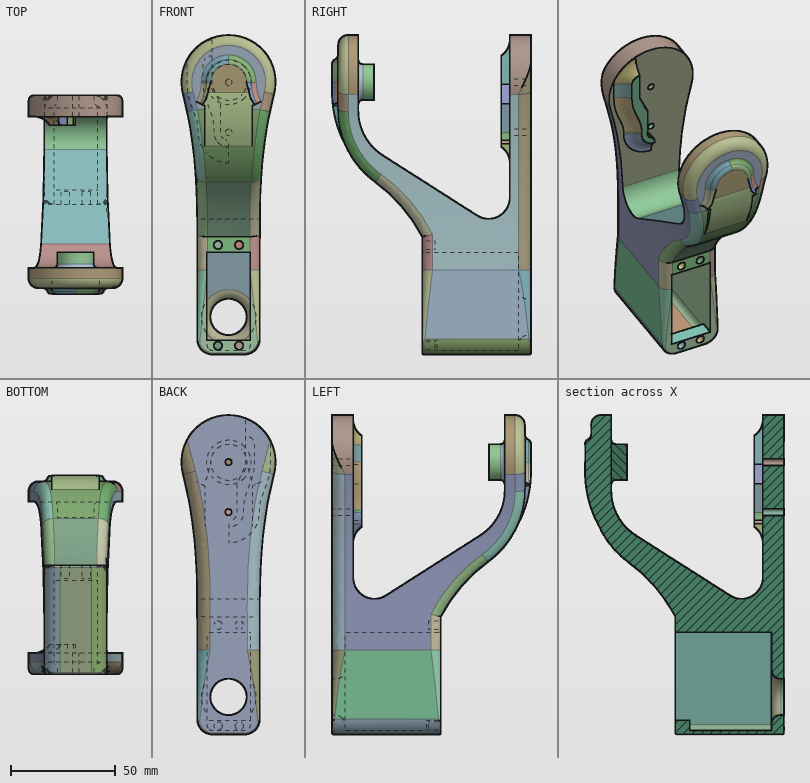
import cadquery as cq
import math

DIAGONAL = math.sqrt(0.5)
TOLERANCE = 0.02
FORWARD_LIMIT = 0.2

TOTAL_HEIGHT = 152.5
HEAD_RADIUS = 22.5
HEAD_Z = TOTAL_HEIGHT - HEAD_RADIUS
BACK_ARM_THICKNESS = 10.2
FRONT_ARM_INNER_Y = -82.4
FRONT_ARM_OUTER_Y = -92.1
PAD_FACE_Y = -95.0
FLANK_MIDDLE = (16.6, 96.5)
FLANK_LEAN = 14.8

HANDLE_HALF_WIDTH = 15.0
HANDLE_FRONT_Y = -52.0
HANDLE_TOP_Z = 56.3
HANDLE_TAPER_Z = 40.4
HANDLE_CORNER_RADIUS = 7.5
BACK_EDGE_RADIUS = 6.1
FRONT_EDGE_RADIUS = 4.9
HANDLE_FOOT_RADIUS = 0.6
HANDLE_RIM_RADIUS = 0.9
HANDLE_MIDDLE_Z = 18.3
HANDLE_MIDDLE_RADIUS = 2.3

THROAT_RADIUS = 10.0
THROAT_BEND_Z = 74.9
THROAT_SLOPE = 32.5
INNER_BEND_RADIUS = 25.0
OUTER_BEND_RADIUS = 42.7
OUTER_BEND_Z = 117.0
OUTER_BEND_END_SLOPE = 36.0

PAD_MIDDLE_RADIUS = 10.8
PAD_RIM_WIDTH = 2.3
PAD_HALF_WIDTH = 11.3
PAD_SHOULDER_Z = 119.4
PAD_SPREAD_X = 13.4
PAD_SPREAD_Z = 119.7
PAD_SPREAD_DIRECTION = (-0.5, -1)
PAD_ROOT_Y = -85.4
PAD_BEND_RADIUS = 52.5
PAD_BEND_Z = 125.0
PAD_FOOT_Z = 97.0

WINDOW_HALF_WIDTH = 10.4
WINDOW_BOTTOM_Z = 6.9
WINDOW_TOP_Z = 48.8
FRAME_DEPTH = 7.0
CHAMBER_FLOOR_Z = 2.0
CHAMBER_FLOOR_RADIUS = 3.0
BACK_WALL = 6.1
PORT_DIAMETER = 17.2
PORT_MOUTH_DIAMETER = 26.1
PORT_Z = 18.0
SCREW_DIAMETER = 4.0
SCREW_HALF_SPACING = 5.0
LOWER_SCREW_Z = 4.3
UPPER_SCREW_Z = 52.3
SCREW_DEPTH = 6.1

ARM_HOLE_DIAMETER = 3.0
LOWER_ARM_HOLE_Z = 106.1

PIN_DIAMETER = 17.2
PIN_END_Y = -74.9
PIN_FLARE = 2.0

RIB_HEIGHT = 4.1
RIB_FLARE_RADIUS = 9.0
RIB_TOP_Z = 142.6
RIB_OUTER_X = -12.4
RIB_INNER_X = -8.1
RIB_CORNER_RADIUS = RIB_INNER_X - RIB_OUTER_X
RIB_HOOK_OUTER_RADIUS = 7.0
RIB_HOOK_INNER_RADIUS = 4.0
RIB_HOOK_SWEEP = 75.0
RIB_TIP_HEIGHT = 1.0
RIB_BEND_Z = 130.1
RIB_STRAIGHT_Z = 107.4
RIB_INNER_BEND_Z = 128.9
RIB_INNER_BEND_END_Z = 119.7
RIB_FLARE_OVERLAP = 1.5


def side_profile():
    """Y-shaped outline of the fork in the YZ plane, above the tapered part of the handle."""
    slope = math.radians(THROAT_SLOPE)
    slope_y, slope_z = -math.cos(slope), math.sin(slope)
    normal_y, normal_z = -math.sin(slope), -math.cos(slope)

    throat_y = -BACK_ARM_THICKNESS - THROAT_RADIUS
    throat_end = (throat_y + THROAT_RADIUS * normal_y, THROAT_BEND_Z + THROAT_RADIUS * normal_z)

    corner_z = throat_end[1] + (throat_end[0] - FRONT_ARM_INNER_Y) * math.tan(slope)
    bend_length = INNER_BEND_RADIUS * math.tan((math.pi / 2 - slope) / 2)
    floor_end = (FRONT_ARM_INNER_Y - slope_y * bend_length, corner_z - slope_z * bend_length)
    inner_bend_end = (FRONT_ARM_INNER_Y, corner_z + bend_length)

    outer_center_y = FRONT_ARM_OUTER_Y + OUTER_BEND_RADIUS
    outer_slope = math.radians(OUTER_BEND_END_SLOPE)
    outer_bend_start = (outer_center_y - OUTER_BEND_RADIUS * math.sin(outer_slope),
                        OUTER_BEND_Z - OUTER_BEND_RADIUS * math.cos(outer_slope))
    return (
        cq.Workplane("YZ")
        .moveTo(0, HANDLE_TAPER_Z)
        .lineTo(0, TOTAL_HEIGHT)
        .lineTo(-BACK_ARM_THICKNESS, TOTAL_HEIGHT)
        .lineTo(-BACK_ARM_THICKNESS, THROAT_BEND_Z)
        .tangentArcPoint(throat_end, relative=False)
        .lineTo(*floor_end)
        .tangentArcPoint(inner_bend_end, relative=False)
        .lineTo(FRONT_ARM_INNER_Y, TOTAL_HEIGHT)
        .lineTo(FRONT_ARM_OUTER_Y, TOTAL_HEIGHT)
        .lineTo(FRONT_ARM_OUTER_Y, OUTER_BEND_Z)
        .tangentArcPoint(outer_bend_start, relative=False)
        .tangentArcPoint((HANDLE_FRONT_Y, HANDLE_TOP_Z), relative=False)
        .lineTo(HANDLE_FRONT_Y, HANDLE_TAPER_Z)
        .close()
    )


def add_flanks(outline, head):
    """Draw up the +X flank, across the head and down the -X flank, from one handle side to the other.

    Both flanks bow inward, start upright where the handle taper ends and touch the head circle.
    """
    start = (HANDLE_HALF_WIDTH, HANDLE_TAPER_Z)
    end = flank_end()
    lean = math.radians(FLANK_LEAN)
    lean_x, lean_z = math.sin(lean), math.cos(lean)
    outline = outline.lineTo(*start).spline(
        [FLANK_MIDDLE, end], tangents=[(0, 1), (lean_x, lean_z)], includeCurrent=True
    )
    return head(outline).spline(
        [mirrored(FLANK_MIDDLE), mirrored(start)], tangents=[(lean_x, -lean_z), (0, -1)], includeCurrent=True
    )


def flank_end():
    """Point (x, z) where the +X flank touches the head circle."""
    lean = math.radians(FLANK_LEAN)
    return (HEAD_RADIUS * math.cos(lean), HEAD_Z - HEAD_RADIUS * math.sin(lean))


def mirrored(point):
    """Point (x, z) on the other side of the symmetry plane."""
    return (-point[0], point[1])


def front_prism(outline):
    """Extrude an XZ outline toward -Y past the whole part."""
    return outline.extrude(-2 * PAD_FACE_Y)


def flared_outline():
    """Handle and flanks, the flanks running straight on beside the head."""
    end = flank_end()
    top = (end[0] + (TOTAL_HEIGHT - end[1]) * math.tan(math.radians(FLANK_LEAN)), TOTAL_HEIGHT)

    def straight_head(outline):
        return outline.lineTo(*top).lineTo(*mirrored(top)).lineTo(*mirrored(end))

    outline = cq.Workplane("XZ").moveTo(HANDLE_HALF_WIDTH, 0)
    return add_flanks(outline, straight_head).lineTo(-HANDLE_HALF_WIDTH, 0).close()


def round_headed_outline():
    """Handle, flanks and round head."""

    def round_head(outline):
        return outline.threePointArc((0, TOTAL_HEIGHT), mirrored(flank_end()))

    outline = cq.Workplane("XZ").moveTo(HANDLE_HALF_WIDTH, 0)
    return add_flanks(outline, round_head).lineTo(-HANDLE_HALF_WIDTH, 0).close()


def outer_front_edges(body):
    """Edges that bound the front of the handle and the outer side of the front arm."""
    edges = []
    for face in body.faces().vals():
        center = face.Center()
        in_front = center.y < HANDLE_FRONT_Y + TOLERANCE
        faces_forward = face.normalAt(center).y < -FORWARD_LIMIT
        if in_front and faces_forward:
            edges += [edge for edge in face.Edges() if not runs_crosswise(edge)]
    return edges


def runs_crosswise(edge):
    """True for a straight edge along X."""
    return edge.geomType() == "LINE" and abs(edge.tangentAt(0.5).y) + abs(edge.tangentAt(0.5).z) < TOLERANCE


def fork_arms():
    """Both arms and the upper handle, with rounded back and front edges."""
    blank = side_profile().extrude(2 * HEAD_RADIUS, both=True).intersect(front_prism(flared_outline()))
    blank = blank.faces(">Y").edges("not |X").fillet(BACK_EDGE_RADIUS)
    blank = blank.intersect(front_prism(round_headed_outline()))
    return blank.newObject(outer_front_edges(blank)).fillet(FRONT_EDGE_RADIUS)


def handle_section(z, back_radius, front_radius):
    """Rectangle across the handle with one corner radius at the back and one at the front."""
    back_x = HANDLE_HALF_WIDTH - back_radius
    front_x = HANDLE_HALF_WIDTH - front_radius
    front_y = HANDLE_FRONT_Y + front_radius
    return (
        cq.Workplane("XY", origin=(0, 0, z))
        .moveTo(-back_x, 0)
        .lineTo(back_x, 0)
        .tangentArcPoint((HANDLE_HALF_WIDTH, -back_radius), relative=False)
        .lineTo(HANDLE_HALF_WIDTH, front_y)
        .tangentArcPoint((front_x, HANDLE_FRONT_Y), relative=False)
        .lineTo(-front_x, HANDLE_FRONT_Y)
        .tangentArcPoint((-HANDLE_HALF_WIDTH, front_y), relative=False)
        .lineTo(-HANDLE_HALF_WIDTH, -back_radius)
        .tangentArcPoint((-back_x, 0), relative=False)
        .close()
        .val()
    )


def handle_foot():
    """Lower handle, its edge rounding fading from the arm radii to a small radius at the bottom."""
    sections = [
        handle_section(0, HANDLE_FOOT_RADIUS, HANDLE_FOOT_RADIUS),
        handle_section(HANDLE_MIDDLE_Z, HANDLE_MIDDLE_RADIUS, HANDLE_MIDDLE_RADIUS),
        handle_section(HANDLE_TAPER_Z, BACK_EDGE_RADIUS, FRONT_EDGE_RADIUS),
    ]
    rounded_bottom = (
        cq.Workplane("XY")
        .box(2 * HANDLE_HALF_WIDTH, -HANDLE_FRONT_Y, TOTAL_HEIGHT, centered=(True, False, False))
        .translate((0, HANDLE_FRONT_Y, 0))
        .edges("|Y and <Z")
        .fillet(HANDLE_CORNER_RADIUS)
        .faces("<Y or >Y")
        .edges("<Z")
        .fillet(HANDLE_RIM_RADIUS)
    )
    return cq.Workplane(cq.Solid.makeLoft(sections)).intersect(rounded_bottom)


def pad():
    """Raised pad with a round top, following the bend of the front arm downward."""
    side = (
        cq.Workplane("YZ")
        .moveTo(PAD_FACE_Y, TOTAL_HEIGHT)
        .lineTo(PAD_FACE_Y, PAD_BEND_Z)
        .radiusArc(pad_foot(), -PAD_BEND_RADIUS)
        .lineTo(PAD_ROOT_Y, PAD_FOOT_Z)
        .lineTo(PAD_ROOT_Y, TOTAL_HEIGHT)
        .close()
        .extrude(HEAD_RADIUS, both=True)
    )
    top_radius = PAD_MIDDLE_RADIUS - PAD_RIM_WIDTH
    outline = (
        cq.Workplane("XZ")
        .moveTo(PAD_HALF_WIDTH, PAD_FOOT_Z)
        .lineTo(PAD_HALF_WIDTH, PAD_SHOULDER_Z)
        .lineTo(top_radius, HEAD_Z)
        .threePointArc((0, HEAD_Z + top_radius), (-top_radius, HEAD_Z))
        .lineTo(-PAD_HALF_WIDTH, PAD_SHOULDER_Z)
        .lineTo(-PAD_HALF_WIDTH, PAD_FOOT_Z)
        .close()
    )
    rim = pad_rim()
    return front_prism(outline).union(rim).union(rim.mirror("YZ")).intersect(side)


def pad_rim():
    """S-shaped edge of the pad on its -X half, swept around the top and spreading out below."""
    middle_y = (PAD_FACE_Y + FRONT_ARM_OUTER_Y) / 2
    half_height = FRONT_ARM_OUTER_Y - middle_y
    rounding = (PAD_RIM_WIDTH**2 + half_height**2) / (2 * half_height)
    top_z = HEAD_Z + PAD_MIDDLE_RADIUS
    section = (
        cq.Workplane("YZ")
        .moveTo(PAD_ROOT_Y, top_z + PAD_RIM_WIDTH)
        .lineTo(FRONT_ARM_OUTER_Y, top_z + PAD_RIM_WIDTH)
        .radiusArc((middle_y, top_z), rounding)
        .radiusArc((PAD_FACE_Y, top_z - PAD_RIM_WIDTH), -rounding)
        .lineTo(PAD_FACE_Y, top_z - 2 * PAD_RIM_WIDTH)
        .lineTo(PAD_ROOT_Y, top_z - 2 * PAD_RIM_WIDTH)
        .close()
    )
    path = (
        cq.Workplane("XZ")
        .moveTo(0, top_z)
        .threePointArc(*quarter_arc(0, HEAD_Z, PAD_MIDDLE_RADIUS))
        .spline(
            [(-PAD_SPREAD_X, PAD_SPREAD_Z)], tangents=[(0, -1), PAD_SPREAD_DIRECTION], includeCurrent=True
        )
    )
    return section.sweep(path)


def pad_foot():
    """Point (y, z) where the curved pad face ends."""
    drop = PAD_BEND_Z - PAD_FOOT_Z
    return (PAD_FACE_Y + PAD_BEND_RADIUS - math.sqrt(PAD_BEND_RADIUS**2 - drop**2), PAD_FOOT_Z)


def chamber():
    """Window in the front of the handle and the taller chamber behind it."""
    width = 2 * WINDOW_HALF_WIDTH
    chamber_height = WINDOW_TOP_Z - CHAMBER_FLOOR_Z
    window_height = WINDOW_TOP_Z - WINDOW_BOTTOM_Z
    inner_front_y = HANDLE_FRONT_Y + FRAME_DEPTH
    room = (
        cq.Workplane("XY")
        .box(width, -BACK_WALL - inner_front_y, chamber_height, centered=(True, False, False))
        .translate((0, inner_front_y, CHAMBER_FLOOR_Z))
        .edges("|Y and <Z")
        .fillet(CHAMBER_FLOOR_RADIUS)
    )
    window = (
        cq.Workplane("XY")
        .box(width, FRAME_DEPTH, window_height, centered=(True, False, False))
        .translate((0, HANDLE_FRONT_Y, WINDOW_BOTTOM_Z))
    )
    return room.union(window)


def port():
    """Round hole through the back wall, its chamber side widening into a rounded mouth."""
    bore_radius = PORT_DIAMETER / 2
    mouth_radius = PORT_MOUTH_DIAMETER / 2
    mouth_depth = mouth_radius - bore_radius
    return (
        cq.Workplane("XY")
        .moveTo(0, 0)
        .lineTo(bore_radius, 0)
        .lineTo(bore_radius, mouth_depth - BACK_WALL)
        .threePointArc(
            (mouth_radius - mouth_depth * DIAGONAL, mouth_depth * (1 - DIAGONAL) - BACK_WALL),
            (mouth_radius, -BACK_WALL),
        )
        .lineTo(0, -BACK_WALL)
        .close()
        .revolve(360, (0, 0), (0, 1))
        .translate((0, 0, PORT_Z))
    )


def screw_holes():
    """Two blind holes above the window and two below it."""
    columns = (-SCREW_HALF_SPACING, SCREW_HALF_SPACING)
    rows = (LOWER_SCREW_Z, UPPER_SCREW_Z)
    points = [(x, z) for x in columns for z in rows]
    return (
        cq.Workplane("XZ", origin=(0, HANDLE_FRONT_Y, 0))
        .pushPoints(points)
        .circle(SCREW_DIAMETER / 2)
        .extrude(-SCREW_DEPTH)
    )


def arm_holes():
    """Two holes through the back arm."""
    return (
        cq.Workplane("XZ")
        .pushPoints([(0, HEAD_Z), (0, LOWER_ARM_HOLE_Z)])
        .circle(ARM_HOLE_DIAMETER / 2)
        .extrude(BACK_ARM_THICKNESS)
    )


def make_housing():
    """Fork with its hollow handle."""
    body = fork_arms().union(handle_foot()).union(pad())
    return body.cut(chamber()).cut(port()).cut(screw_holes()).cut(arm_holes())


def make_pin():
    """Pivot pin with a concave flare where it meets the front arm."""
    radius = PIN_DIAMETER / 2
    flare_radius = radius + PIN_FLARE
    return (
        cq.Workplane("XY")
        .moveTo(0, FRONT_ARM_INNER_Y)
        .lineTo(flare_radius, FRONT_ARM_INNER_Y)
        .threePointArc(
            (flare_radius - PIN_FLARE * DIAGONAL, FRONT_ARM_INNER_Y + PIN_FLARE * (1 - DIAGONAL)),
            (radius, FRONT_ARM_INNER_Y + PIN_FLARE),
        )
        .lineTo(radius, PIN_END_Y)
        .lineTo(0, PIN_END_Y)
        .close()
        .revolve(360, (0, 0), (0, 1))
        .translate((0, 0, HEAD_Z))
    )


def rib_outer_path():
    """Outer side of the rib, from its top end down to the end of its hook."""
    corner = quarter_arc(RIB_INNER_X, RIB_TOP_Z - RIB_CORNER_RADIUS, RIB_CORNER_RADIUS)
    return (
        cq.Workplane("XZ", origin=(0, -BACK_ARM_THICKNESS, 0))
        .moveTo(RIB_INNER_X, RIB_TOP_Z)
        .threePointArc(*corner)
        .lineTo(RIB_OUTER_X, RIB_BEND_Z)
        .spline([(-RIB_HOOK_OUTER_RADIUS, RIB_STRAIGHT_Z)], tangents=[(0, -1), (0, -1)], includeCurrent=True)
        .lineTo(-RIB_HOOK_OUTER_RADIUS, LOWER_ARM_HOLE_Z)
        .tangentArcPoint((0, LOWER_ARM_HOLE_Z - RIB_HOOK_OUTER_RADIUS), relative=False)
    )


def quarter_arc(center_x, center_z, radius):
    """Middle and end of the arc that runs from the top of a circle to its -X side."""
    diagonal = radius * DIAGONAL
    return (center_x - diagonal, center_z + diagonal), (center_x - radius, center_z)


def rib_flare():
    """Concave flare swept along the outer side of the rib, cut off at the rib height."""
    width = math.sqrt(RIB_FLARE_RADIUS**2 - (RIB_FLARE_RADIUS - RIB_HEIGHT) ** 2)
    section = (
        cq.Workplane("YZ", origin=(RIB_INNER_X, 0, 0))
        .moveTo(-BACK_ARM_THICKNESS, RIB_TOP_Z - RIB_FLARE_OVERLAP)
        .lineTo(-BACK_ARM_THICKNESS, RIB_TOP_Z + width)
        .radiusArc((-BACK_ARM_THICKNESS - RIB_HEIGHT, RIB_TOP_Z), RIB_FLARE_RADIUS)
        .lineTo(-BACK_ARM_THICKNESS - RIB_HEIGHT, RIB_TOP_Z - RIB_FLARE_OVERLAP)
        .close()
    )
    return section.sweep(rib_outer_path())


def make_rib():
    """S-shaped guide rib that hooks around the lower arm hole, flared along its outer side."""
    hook_angle = math.radians(RIB_HOOK_SWEEP)

    def inner_hook_point(angle):
        return (-RIB_HOOK_INNER_RADIUS * math.cos(angle),
                LOWER_ARM_HOLE_Z - RIB_HOOK_INNER_RADIUS * math.sin(angle))

    wall = (
        rib_outer_path()
        .lineTo(0, LOWER_ARM_HOLE_Z - RIB_HOOK_OUTER_RADIUS + RIB_TIP_HEIGHT)
        .lineTo(*inner_hook_point(hook_angle))
        .threePointArc(inner_hook_point(hook_angle / 2), inner_hook_point(0))
        .lineTo(-RIB_HOOK_INNER_RADIUS, RIB_INNER_BEND_END_Z)
        .lineTo(RIB_INNER_X, RIB_INNER_BEND_Z)
        .close()
        .extrude(RIB_HEIGHT)
    )
    return wall.union(rib_flare()).intersect(front_prism(round_headed_outline()))


housing = make_housing()
pin = make_pin()
rib = make_rib()
result = cq.Compound.makeCompound([housing.val(), pin.val(), rib.val()])